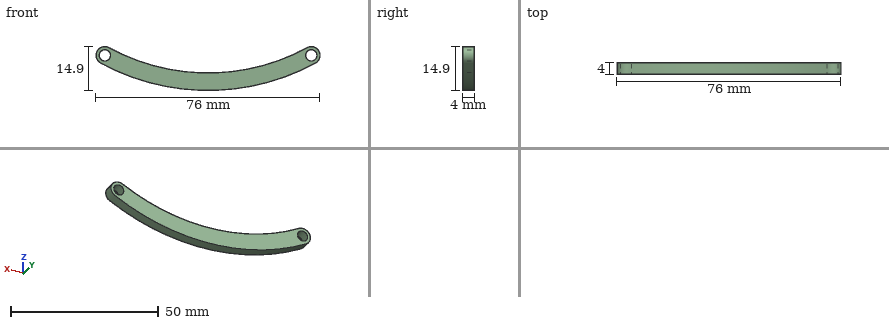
import cadquery as cq
import math

hole_spacing = 70.0
arc_radius = 73.0
link_width = 6.0
thickness = 4.0
hole_diameter = 3.75

end_radius = link_width / 2
inner_radius = arc_radius - end_radius
outer_radius = arc_radius + end_radius
end_angle = math.asin(hole_spacing / 2 / arc_radius)
arc_centre_z = arc_radius * math.cos(end_angle)


def arc_point(radius, angle):
    """Point at a radius from the arc centre, angle measured from straight down."""
    return radius * math.sin(angle), arc_centre_z - radius * math.cos(angle)


def end_tip(side):
    """Outermost point of the round end, along the centreline's tangent."""
    x, z = arc_point(arc_radius, side * end_angle)
    return x + side * end_radius * math.cos(end_angle), z + end_radius * math.sin(end_angle)


def curved_link():
    """Constant-width curved bar with round ends, centred on the XZ plane."""
    return (
        cq.Workplane("XZ")
        .moveTo(*arc_point(inner_radius, -end_angle))
        .threePointArc(arc_point(inner_radius, 0), arc_point(inner_radius, end_angle))
        .threePointArc(end_tip(1), arc_point(outer_radius, end_angle))
        .threePointArc(arc_point(outer_radius, 0), arc_point(outer_radius, -end_angle))
        .threePointArc(end_tip(-1), arc_point(inner_radius, -end_angle))
        .close()
        .extrude(thickness / 2, both=True)
    )


def end_holes():
    """Pins that cut a through hole concentric with each round end."""
    return (
        cq.Workplane("XZ")
        .pushPoints([(-hole_spacing / 2, 0), (hole_spacing / 2, 0)])
        .circle(hole_diameter / 2)
        .extrude(thickness, both=True)
    )


result = curved_link().cut(end_holes())